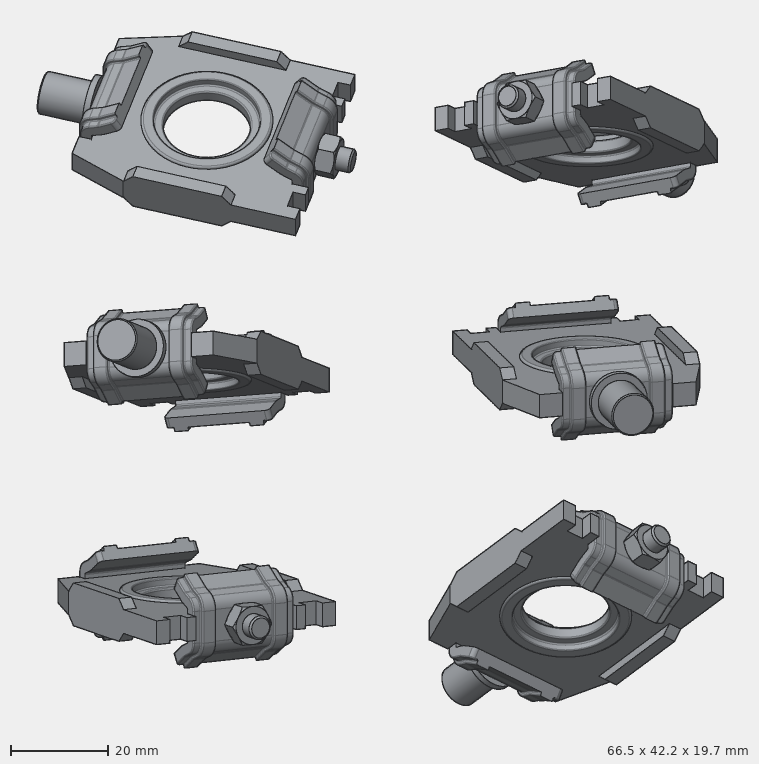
import cadquery as cq
import math


plate_left = -23.9
plate_right = 25.35
plate_width = 42.2
plate_thickness = 5.0
taper_end_x = -11.65
taper_left_width = 33.4
slot_depth = 2.65
slot_width = 4.0
slot_center_y = 16.0

rail_length = 23.0
rail_height = 9.0
rail_width = 3.0
rail_chamfer = (rail_height - plate_thickness) / 2

boss_diameter = 27.15
boss_height = 6.0
boss_rise = (boss_height - plate_thickness) / 2
seat_diameter = 21.95
seat_depth = 1.65
bore_diameter = 18.0
seat_mouth_fillet = 0.2
bore_edge_fillet = 0.3

clip_left_face = -23.6
clip_right_face = 24.2
clip_width = 23.6
clip_thickness = 2.4
clip_height = 19.7
web_half_height = 3.3
bend_radius = 2.8
shoulder_angle = 23.0
wing_angle = 34.0
shoulder_length = 2.05
wing_bend_radius = 1.3
wing_corner_radius = 1.0
clip_edge_fillet = 0.25
rib_rise = 0.8
rib_width = 3.1
rib_center_y = 8.45
rib_fillet = 0.25
rib_root_fillet = 0.2

collar_diameter = 12.0
collar_thickness = 1.3
pin_diameter = 9.0
pin_length = 10.2
pin_chamfer = 0.25

nut_across_flats = 8.0
nut_height = 4.0
nut_chamfer_angle = 30.0
stud_diameter = 5.0
stud_length = 3.2
stud_chamfer = 0.4

pick_margin = 0.05


def centered_block(x_start, x_end, width, height, center_y=0):
    """Box from x_start to x_end, centred on center_y and on Z = 0."""
    return (
        cq.Workplane("XY")
        .box(x_end - x_start, width, height)
        .translate(((x_start + x_end) / 2, center_y, 0))
    )


def make_plate_blank():
    half_width = plate_width / 2
    half_left = taper_left_width / 2
    outline = [
        (plate_left, -half_left),
        (taper_end_x, -half_width),
        (plate_right, -half_width),
        (plate_right, half_width),
        (taper_end_x, half_width),
        (plate_left, half_left),
    ]
    return (
        cq.Workplane("XY")
        .polyline(outline)
        .close()
        .extrude(plate_thickness / 2, both=True)
    )


def make_rail(side):
    """Bar with chamfered ends along one long edge; side is +1 or -1."""
    center_y = side * (plate_width - rail_width) / 2
    rail = centered_block(-rail_length / 2, rail_length / 2, rail_width, rail_height, center_y)
    return rail.edges("|Y").chamfer(rail_chamfer)


def make_boss():
    """Disc standing out of both faces, with rounded rims."""
    disc = cq.Workplane("XY").circle(boss_diameter / 2).extrude(boss_height / 2, both=True)
    return disc.faces("<Z or >Z").fillet(boss_rise)


def edge_picker(x, y, z):
    """Selector for the edges whose middle lies at a point."""
    m = pick_margin
    return cq.selectors.BoxSelector((x - m, y - m, z - m), (x + m, y + m, z + m))


def round_axis_circles(plate, z, largest_diameter, radius):
    """Round the circular edges about the bore axis at height z, up to a diameter."""
    circles = plate.edges("%CIRCLE").edges(edge_picker(0, 0, z))
    largest_radius = largest_diameter / 2 + pick_margin
    return circles.filter(lambda edge: edge.radius() < largest_radius).fillet(radius)


def cut_bore(plate):
    """Cut the through bore and a seat in each face, with rounded edges."""
    top = boss_height / 2
    plate = plate.cut(cq.Workplane("XY").circle(bore_diameter / 2).extrude(top, both=True))
    for side in (-1, 1):
        seat = (
            cq.Workplane("XY", origin=(0, 0, side * top))
            .circle(seat_diameter / 2)
            .extrude(-side * seat_depth)
        )
        plate = plate.cut(seat)
        plate = round_axis_circles(plate, side * top, seat_diameter, seat_mouth_fillet)
        plate = round_axis_circles(plate, side * (top - seat_depth), seat_diameter, bore_edge_fillet)
    return plate


def make_plate():
    plate = make_plate_blank().union(make_boss())
    for side in (-1, 1):
        plate = plate.union(make_rail(side))
        slot_y = side * slot_center_y
        plate = plate.cut(
            centered_block(plate_right - slot_depth, plate_right, slot_width, plate_thickness, slot_y)
        )
    plate = cut_bore(plate)
    left_notch_end = clip_left_face + clip_thickness
    right_notch_end = clip_right_face - clip_thickness
    plate = plate.cut(centered_block(plate_left, left_notch_end, clip_width, plate_thickness))
    return plate.cut(centered_block(right_notch_end, plate_right, clip_width, plate_thickness))


def direction(angle):
    """Unit vector in the XZ plane at an angle in degrees from the X axis."""
    return cq.Vector(math.cos(math.radians(angle)), math.sin(math.radians(angle)))


def clip_curve(offset):
    """Upper half of the clip's section, shifted outwards from its outer face by offset.

    Runs from the web end through an arc, the shoulder and a counter arc to the wing tip.
    The web's outer face is at X = 0 and the wings lean towards +X.
    """
    shoulder_normal = direction(shoulder_angle + 90)
    wing_normal = direction(wing_angle + 90)

    web_arc_center = cq.Vector(bend_radius, web_half_height)
    web_arc_middle = direction((180 + shoulder_angle + 90) / 2)
    web_arc = [
        web_arc_center + normal * (bend_radius + offset)
        for normal in (direction(180), web_arc_middle, shoulder_normal)
    ]

    shoulder_end = (
        web_arc_center + shoulder_normal * bend_radius + direction(shoulder_angle) * shoulder_length
    )
    wing_arc_center = shoulder_end + shoulder_normal * wing_bend_radius
    wing_arc_middle = direction((shoulder_angle + wing_angle) / 2 + 90)
    wing_arc = [
        wing_arc_center - normal * (wing_bend_radius - offset)
        for normal in (shoulder_normal, wing_arc_middle, wing_normal)
    ]

    wing_start = wing_arc_center - wing_normal * wing_bend_radius
    face_tip_z = clip_height / 2 - rib_rise * wing_normal.y
    wing_length = (face_tip_z - wing_start.y) / direction(wing_angle).y
    tip = wing_start + direction(wing_angle) * wing_length + wing_normal * offset
    return [(point.x, point.y) for point in (*web_arc, *wing_arc, tip)]


def make_clip_band(outer_offset, width, center_y=0):
    """Bent strip from the clip's inner face out to outer_offset, over a width along Y."""
    web_end, web_mid, shoulder_start, shoulder_end, bend_mid, wing_start, tip = clip_curve(outer_offset)
    inner = clip_curve(-clip_thickness)
    in_web_end, in_web_mid, in_shoulder_start, in_shoulder_end, in_bend_mid, in_wing_start, in_tip = inner
    half = (
        cq.Workplane("XZ")
        .moveTo(web_end[0], 0)
        .lineTo(*web_end)
        .threePointArc(web_mid, shoulder_start)
        .lineTo(*shoulder_end)
        .threePointArc(bend_mid, wing_start)
        .lineTo(*tip)
        .lineTo(*in_tip)
        .lineTo(*in_wing_start)
        .threePointArc(in_bend_mid, in_shoulder_end)
        .lineTo(*in_shoulder_start)
        .threePointArc(in_web_mid, in_web_end)
        .lineTo(in_web_end[0], 0)
        .close()
        .extrude(width / 2, both=True)
        .translate((0, center_y, 0))
    )
    return half.union(half.mirror("XY"))


def make_clip_base():
    """Plain strip with rounded wing corners; its outer rim is rounded outside the ribs."""
    wing_normal = direction(wing_angle + 90)
    base = make_clip_band(0, clip_width)
    for side in (-1, 1):
        normal = cq.Vector(wing_normal.x, 0, side * wing_normal.y)
        base = base.edges(cq.selectors.ParallelDirSelector(normal)).fillet(wing_corner_radius)
    base = base.edges(edge_picker(0, clip_width / 2, 0)).fillet(clip_edge_fillet)
    return base.union(make_clip_band(0, 2 * rib_center_y))


def make_rib(center_y):
    """Raised band across the strip with rounded outer side edges."""
    rib = make_clip_band(rib_rise, rib_width, center_y)
    for edge_y in (center_y - rib_width / 2, center_y + rib_width / 2):
        rib = rib.edges(edge_picker(-rib_rise, edge_y, 0)).fillet(rib_fillet)
    return rib


def make_clip():
    """Clip with its web's outer face at X = 0 and its wings towards +X."""
    clip = make_clip_base()
    for center_y in (-rib_center_y, rib_center_y):
        clip = clip.union(make_rib(center_y))
    for center_y in (-rib_center_y, rib_center_y):
        for edge_y in (center_y - rib_width / 2, center_y + rib_width / 2):
            clip = clip.edges(edge_picker(0, edge_y, 0)).fillet(rib_root_fillet)
    return clip


def make_left_clip():
    """Clip with a collar and a pin standing on its web."""
    collar = cq.Workplane("YZ").circle(collar_diameter / 2).extrude(-collar_thickness)
    pin = (
        cq.Workplane("YZ", origin=(-collar_thickness, 0, 0))
        .circle(pin_diameter / 2)
        .extrude(-pin_length)
        .faces("<X")
        .chamfer(pin_chamfer)
    )
    return make_clip().union(collar).union(pin).translate((clip_left_face, 0, 0))


def make_right_clip():
    return make_clip().mirror("YZ").translate((clip_right_face, 0, 0))


def make_nut_stud():
    """Hexagon nut with bevelled corners, and the stud end that stands out of it."""
    corner_radius = nut_across_flats / 2 / math.cos(math.pi / 6)
    flat_radius = nut_across_flats / 2
    bevel = (corner_radius - flat_radius) * math.tan(math.radians(nut_chamfer_angle))
    hexagon = cq.Workplane("YZ").polygon(6, 2 * corner_radius).extrude(nut_height)
    bevel_limit = (
        cq.Workplane("XY")
        .polyline([
            (0, 0),
            (0, flat_radius),
            (bevel, corner_radius),
            (nut_height - bevel, corner_radius),
            (nut_height, flat_radius),
            (nut_height, 0),
        ])
        .close()
        .revolve(360, (0, 0), (1, 0))
    )
    stud = (
        cq.Workplane("YZ")
        .circle(stud_diameter / 2)
        .extrude(nut_height + stud_length)
        .faces(">X")
        .chamfer(stud_chamfer)
    )
    return hexagon.intersect(bevel_limit).union(stud).translate((clip_right_face, 0, 0))


plate = make_plate()
left_clip = make_left_clip()
right_clip = make_right_clip()
nut_stud = make_nut_stud()

result = cq.Compound.makeCompound([
    plate.solids().val(),
    left_clip.solids().val(),
    right_clip.solids().val(),
    nut_stud.solids().val(),
])